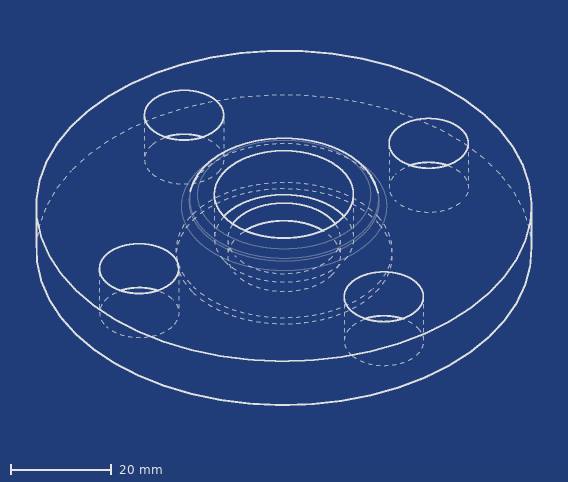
import cadquery as cq

flange_diameter = 98.5
flange_thickness = 11.2

face_diameter = 43.0
face_height = 1.6

hub_base_diameter = 38.4
hub_top_diameter = 36.9
hub_height = 3.0
hub_fillet = 1.6

socket_diameter = 27.7
socket_depth = 11.2
bore_diameter = 22.4

bolt_count = 4
bolt_circle_diameter = 69.9
bolt_hole_diameter = 15.8

flange_top = face_height + flange_thickness
hub_top = flange_top + hub_height


def flange_body():
    """Revolve the sealing face, disc and tapered hub as one solid."""
    profile = (
        cq.Workplane("XZ")
        .lineTo(face_diameter / 2, 0)
        .lineTo(face_diameter / 2, face_height)
        .lineTo(flange_diameter / 2, face_height)
        .lineTo(flange_diameter / 2, flange_top)
        .lineTo(hub_base_diameter / 2, flange_top)
        .lineTo(hub_top_diameter / 2, hub_top)
        .lineTo(0, hub_top)
        .close()
    )
    return profile.revolve(360, (0, 0, 0), (0, 1, 0))


def round_hub(body):
    """Round the rim of the hub and its root on the disc."""
    innermost_edge = cq.selectors.RadiusNthSelector(0)
    disc_top = cq.selectors.NearestToPointSelector((0, 0, flange_top))
    body = body.faces(">Z").edges(innermost_edge).fillet(hub_fillet)
    return body.faces("|Z").faces(disc_top).edges(innermost_edge).fillet(hub_fillet)


def cut_socket_and_bore(body):
    """Cut the pipe socket from the hub top and the bore right through."""
    hub_face = body.faces(">Z").workplane(origin=(0, 0, hub_top))
    return hub_face.cboreHole(bore_diameter, socket_diameter, socket_depth)


def cut_bolt_holes(body):
    """Cut the bolt holes, evenly spaced on their circle, starting on +X."""
    holes = (
        cq.Workplane("XY")
        .polarArray(bolt_circle_diameter / 2, 0, 360, bolt_count)
        .circle(bolt_hole_diameter / 2)
        .extrude(flange_top)
    )
    return body.cut(holes)


result = cut_bolt_holes(cut_socket_and_bore(round_hub(flange_body())))